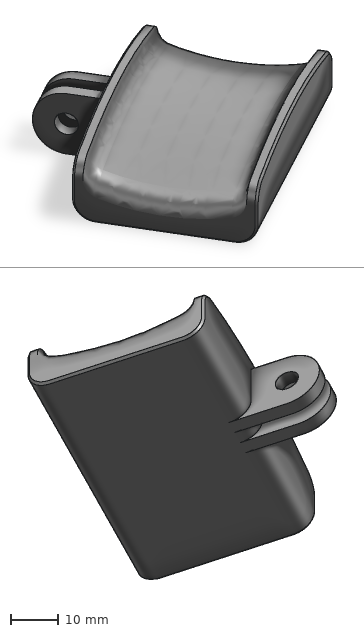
import cadquery as cq
import math

body_width = 40.8
body_length = 60.0
body_height = 18.0
bottom_radius = 5.1
edge_chamfer = 0.55

crown_radius = 115.2
rim_corner_radius = 5.0

wall_thickness = 2.4
floor_half_width = 14.65
floor_centre_drop = 5.95
floor_edge_drop = 3.95

lug_overhang = 15.7
lug_radius = 7.5
lug_hole_diameter = 5.3
prong_thickness = 3.05
prong_gap = 3.05

half_width = body_width / 2
half_length = body_length / 2
inner_half_width = half_width - wall_thickness


def arched_outline(start_x, base_z=0.0):
    """Outline in the YZ plane: base at base_z, upright ends and a crowned top with rounded corners."""
    crown_centre_z = body_height - crown_radius
    corner_y = half_length - rim_corner_radius
    centre_distance = crown_radius - rim_corner_radius
    corner_z = crown_centre_z + math.sqrt(centre_distance**2 - corner_y**2)
    tangent_y = corner_y * crown_radius / centre_distance
    tangent_z = crown_centre_z + (corner_z - crown_centre_z) * crown_radius / centre_distance
    return (
        cq.Workplane("YZ", origin=(start_x, 0, 0))
        .moveTo(-half_length, base_z)
        .lineTo(half_length, base_z)
        .lineTo(half_length, corner_z)
        .tangentArcPoint((tangent_y, tangent_z), relative=False)
        .threePointArc((0, body_height), (-tangent_y, tangent_z))
        .tangentArcPoint((-half_length, corner_z), relative=False)
        .close()
    )


def make_block():
    """Arched block with rounded lower sides and chamfered outer edges."""
    block = arched_outline(-half_width).extrude(body_width)
    block = block.faces("<Z").edges("|Y").fillet(bottom_radius)
    side_edges = block.faces("<X or >X").edges("not(|Y)")
    end_edges = block.faces("<Y or >Y").edges("(|X and <Z) or (not(|X or |Z))")
    return block.newObject(side_edges.vals() + end_edges.vals()).chamfer(edge_chamfer)


def make_floor():
    """Solid below the dished floor: the arched outline carried across X along the trough section."""
    floor_and_fillet = (
        cq.Workplane("XZ")
        .moveTo(-floor_half_width, -floor_edge_drop)
        .threePointArc((0, -floor_centre_drop), (floor_half_width, -floor_edge_drop))
        .tangentArcPoint((inner_half_width, 0), relative=False)
        .wire()
    )
    floor_arc, right_fillet = floor_and_fillet.val().Edges()
    left_fillet = right_fillet.mirror("YZ")
    path = cq.Workplane(cq.Wire.assembleEdges([left_fillet, floor_arc, right_fillet]))
    outline = arched_outline(-inner_half_width, base_z=-body_height)
    return outline.sweep(path, normal=cq.Vector(1, 0, 0))


def make_lug():
    """Round-ended plate with a cross hole, split into two prongs."""
    pivot_x = -half_width - lug_overhang + lug_radius
    root_x = -half_width + bottom_radius
    total_thickness = 2 * prong_thickness + prong_gap
    join_x = -half_width + wall_thickness / 2
    plate = (
        cq.Workplane("XZ", origin=(0, total_thickness / 2, 0))
        .moveTo(root_x, 0)
        .lineTo(pivot_x, 0)
        .threePointArc((pivot_x - lug_radius, lug_radius), (pivot_x, 2 * lug_radius))
        .lineTo(join_x, 2 * lug_radius)
        .lineTo(join_x, bottom_radius)
        .lineTo(root_x, bottom_radius / 2)
        .close()
        .extrude(total_thickness)
    )
    hole = (
        cq.Workplane("XZ", origin=(pivot_x, total_thickness / 2, lug_radius))
        .circle(lug_hole_diameter / 2)
        .extrude(total_thickness)
    )
    gap = cq.Workplane("XY").box(2 * (half_width + lug_overhang), prong_gap, 4 * lug_radius)
    return plate.cut(hole).cut(gap)


block = make_block()
trough_space = cq.Workplane("XY").box(2 * inner_half_width, 2 * body_length, 4 * body_height)
walls = block.cut(trough_space)
floor = block.intersect(trough_space).intersect(make_floor())
result = walls.union(floor).union(make_lug())